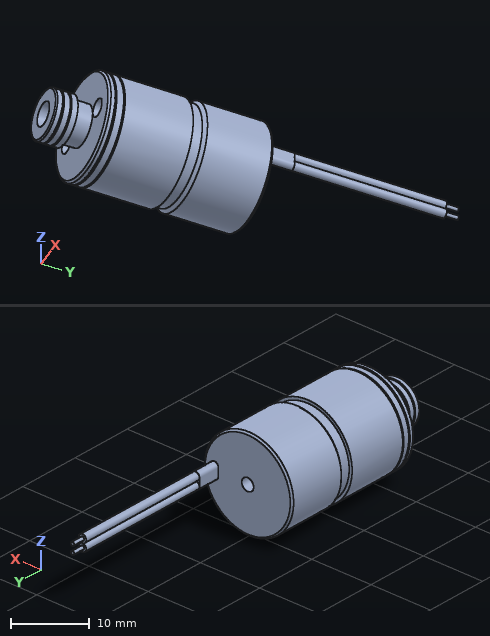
import cadquery as cq

OVERALL_LENGTH = 56.18

BODY_RADIUS = 7.5
BODY_LENGTH = 23.5
BODY_CHAMFER = 0.3
WAIST_RADIUS = 7.0
WAIST_FRONT = 12.0
WAIST_LENGTH = 1.55
BODY_RING_HALF_WIDTH = 0.705
BODY_RING_Y = 1.605

RING_BEVEL_WIDTH = 0.21
RING_BEVEL_DEPTH = 0.21

NOSE_LENGTH = 5.5
NECK_RADIUS = 2.95
NECK_LENGTH = 2.4
HEAD_RADIUS = 3.6
HEAD_CHAMFER = 0.2
HEAD_RING_HALF_WIDTH = 0.64
HEAD_RING_Y = -3.92

THROUGH_DIAMETER = 2.0
COUNTERBORE_DIAMETER = 3.4
COUNTERBORE_DEPTH = NOSE_LENGTH
PIN_HOLE_DIAMETER = 2.5
PIN_HOLE_OFFSET = 4.3
PIN_HOLE_DEPTH = 3.0

CABLE_X = 5.63
SLEEVE_RADIUS = 0.68
SLEEVE_HALF_SPACING = 0.64
SLEEVE_LENGTH = 3.6
WIRE_RADIUS = 0.65
WIRE_HALF_SPACING = 0.66
CONDUCTOR_RADIUS = 0.3
CONDUCTOR_LENGTH = 1.9
CABLE_ROOT_DEPTH = 0.5

NOSE_FRONT = -NOSE_LENGTH
CABLE_END = OVERALL_LENGTH - NOSE_LENGTH


def plane_at(y):
    """Sketch plane at position y along the axis: local x = X, local y = Z, normal = -Y."""
    return cq.Workplane("XZ", origin=(0, y, 0))


def rod(x, z, radius, y_start, y_end):
    """Cylinder along +Y from y_start to y_end."""
    return plane_at(y_start).center(x, z).circle(radius).extrude(y_start - y_end)


def add_ring(outline, outer_radius, half_width, ring_y):
    """Continue an outline in +Y over a ring with bevelled edges, flush between its neighbours."""
    bevel_radius = outer_radius - RING_BEVEL_DEPTH
    return (
        outline.lineTo(outer_radius, ring_y - half_width)
        .lineTo(bevel_radius, ring_y - half_width)
        .lineTo(outer_radius, ring_y - half_width + RING_BEVEL_WIDTH)
        .lineTo(outer_radius, ring_y + half_width - RING_BEVEL_WIDTH)
        .lineTo(bevel_radius, ring_y + half_width)
        .lineTo(outer_radius, ring_y + half_width)
    )


def turned_body():
    """Nose and main body, revolved from one half outline of (radius, y) points."""
    waist_rear = WAIST_FRONT + WAIST_LENGTH
    waist_step = BODY_RADIUS - WAIST_RADIUS

    outline = cq.Workplane("XY").moveTo(0, NOSE_FRONT)
    outline = outline.lineTo(HEAD_RADIUS - HEAD_CHAMFER, NOSE_FRONT)
    outline = outline.lineTo(HEAD_RADIUS, NOSE_FRONT + HEAD_CHAMFER)
    outline = add_ring(outline, HEAD_RADIUS, HEAD_RING_HALF_WIDTH, HEAD_RING_Y)
    outline = (
        outline.lineTo(HEAD_RADIUS, -NECK_LENGTH)
        .lineTo(NECK_RADIUS, -NECK_LENGTH)
        .lineTo(NECK_RADIUS, 0)
        .lineTo(BODY_RADIUS - BODY_CHAMFER, 0)
        .lineTo(BODY_RADIUS, BODY_CHAMFER)
    )
    outline = add_ring(outline, BODY_RADIUS, BODY_RING_HALF_WIDTH, BODY_RING_Y)
    outline = (
        outline.lineTo(BODY_RADIUS, WAIST_FRONT)
        .lineTo(WAIST_RADIUS, WAIST_FRONT)
        .lineTo(WAIST_RADIUS, waist_rear)
        .lineTo(BODY_RADIUS, waist_rear + waist_step)
        .lineTo(BODY_RADIUS, BODY_LENGTH - BODY_CHAMFER)
        .lineTo(BODY_RADIUS - BODY_CHAMFER, BODY_LENGTH)
        .lineTo(0, BODY_LENGTH)
        .close()
    )
    return outline.revolve(360, (0, 0, 0), (0, 1, 0))


def bores():
    """Stepped axial bore and the two blind pin holes in the front face."""
    cutter = rod(0, 0, THROUGH_DIAMETER / 2, NOSE_FRONT, BODY_LENGTH)
    counterbore_end = NOSE_FRONT + COUNTERBORE_DEPTH
    cutter = cutter.union(rod(0, 0, COUNTERBORE_DIAMETER / 2, NOSE_FRONT, counterbore_end))
    for side in (-1, 1):
        pin_hole = rod(side * PIN_HOLE_OFFSET, 0, PIN_HOLE_DIAMETER / 2, 0, PIN_HOLE_DEPTH)
        cutter = cutter.union(pin_hole)
    return cutter


def cable():
    """Oblong sleeve and two round wires, one above the other, with bare ends."""
    root = BODY_LENGTH - CABLE_ROOT_DEPTH
    sleeve_size = 2 * (SLEEVE_HALF_SPACING + SLEEVE_RADIUS)
    assembly = (
        plane_at(root)
        .center(CABLE_X, 0)
        .slot2D(sleeve_size, 2 * SLEEVE_RADIUS, 90)
        .extrude(-(SLEEVE_LENGTH + CABLE_ROOT_DEPTH))
    )
    for side in (-1, 1):
        z = side * WIRE_HALF_SPACING
        assembly = assembly.union(rod(CABLE_X, z, WIRE_RADIUS, root, CABLE_END - CONDUCTOR_LENGTH))
        assembly = assembly.union(rod(CABLE_X, z, CONDUCTOR_RADIUS, root, CABLE_END))
    return assembly


result = turned_body().cut(bores()).union(cable())